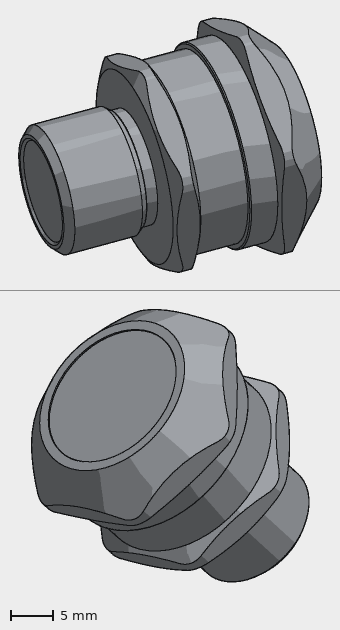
import cadquery as cq
import math

total_length = 31.8

thread_radius = 16.0 / 2
thread_chamfer_length = 1.02
thread_chamfer_depth = 0.95
thread_end = 10.53
thread_relief_length = 0.83
thread_relief_depth = 0.65
neck_radius = 14.4 / 2
recess_mouth_radius = 6.58
recess_floor_radius = 6.25
recess_depth = 0.32

body_hex_flats = 25.0
body_hex_start = 12.0
body_hex_length = 3.55
body_hex_end = body_hex_start + body_hex_length
body_hex_chamfer_angle = 30.0
body_radius = 24.0 / 2

collar_radius = 25.5 / 2
collar_start = 21.6
collar_chamfer = 0.15
cap_hex_flats = 27.0
cap_start = 25.12
cap_front_chamfer_angle = 15.0
cap_end_radius = 10.25
cap_cone_angle = 45.0
cap_recess_radius = 9.03
cap_recess_depth = 0.22

hex_corner_radius = 3.02


def revolve_profile(points):
    """Turn a closed (radius, y) profile about the Y axis."""
    return cq.Workplane("XY").polyline(points).close().revolve(360, (0, 0, 0), (0, 1, 0))


def rounded_hexagon(across_flats, start, length):
    """Hexagonal prism along Y with rounded corners pointing to +Z and -Z."""
    across_corners = across_flats / math.cos(math.radians(30))
    return (
        cq.Workplane("XZ", origin=(0, start, 0))
        .transformed(rotate=(0, 0, 90))
        .polygon(6, across_corners)
        .extrude(-length)
        .edges("|Y")
        .fillet(hex_corner_radius)
    )


def cone_rise(radial_distance, angle):
    """Axial rise of a cone inclined by angle to the radial direction."""
    return radial_distance * math.tan(math.radians(angle))


def make_turned_core():
    return revolve_profile([
        (0, 0),
        (thread_radius - thread_chamfer_depth, 0),
        (thread_radius, thread_chamfer_length),
        (thread_radius, thread_end - thread_relief_length),
        (thread_radius - thread_relief_depth, thread_end),
        (neck_radius, thread_end),
        (neck_radius, body_hex_start),
        (body_radius, body_hex_start),
        (body_radius, collar_start),
        (collar_radius - collar_chamfer, collar_start),
        (collar_radius, collar_start + collar_chamfer),
        (collar_radius, cap_start),
        (0, cap_start),
    ])


def make_body_hex():
    """Hexagon with both ends chamfered down to the body diameter."""
    outer_radius = body_hex_flats / math.sqrt(3)
    rise = cone_rise(outer_radius - body_radius, body_hex_chamfer_angle)
    envelope = revolve_profile([
        (0, body_hex_start),
        (body_radius, body_hex_start),
        (outer_radius, body_hex_start + rise),
        (outer_radius, body_hex_end - rise),
        (body_radius, body_hex_end),
        (0, body_hex_end),
    ])
    return rounded_hexagon(body_hex_flats, body_hex_start, body_hex_length).intersect(envelope)


def make_cap():
    """Hexagonal cap tapering in a cone to a narrow rim around the end recess."""
    outer_radius = cap_hex_flats / math.sqrt(3)
    front_rise = cone_rise(outer_radius - collar_radius, cap_front_chamfer_angle)
    rear_rise = cone_rise(outer_radius - cap_end_radius, cap_cone_angle)
    cap_recess_floor = total_length - cap_recess_depth
    envelope = revolve_profile([
        (0, cap_start),
        (collar_radius, cap_start),
        (outer_radius, cap_start + front_rise),
        (outer_radius, total_length - rear_rise),
        (cap_end_radius, total_length),
        (cap_recess_radius, total_length),
        (cap_recess_radius, cap_recess_floor),
        (0, cap_recess_floor),
    ])
    return rounded_hexagon(cap_hex_flats, cap_start, total_length - cap_start).intersect(envelope)


def make_front_recess():
    """Shallow conical recess in the threaded end."""
    return revolve_profile([
        (0, 0),
        (recess_mouth_radius, 0),
        (recess_floor_radius, recess_depth),
        (0, recess_depth),
    ])


result = make_turned_core().union(make_body_hex()).union(make_cap()).cut(make_front_recess())